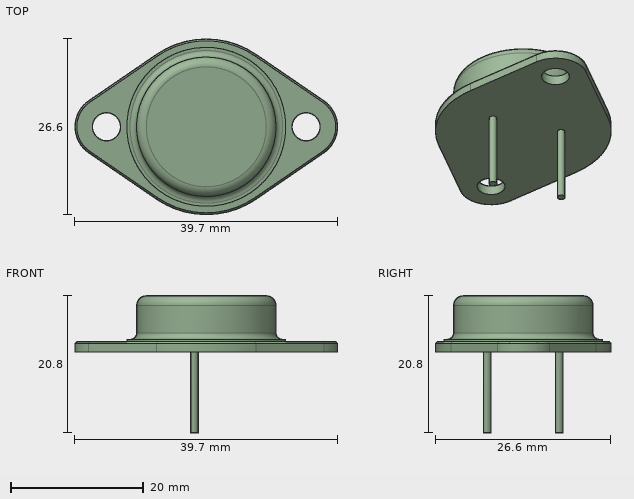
import cadquery as cq
import math

flange_length = 39.7
flange_width = 26.55
flange_thickness = 1.6
flange_chamfer = 0.28
mount_spacing = 30.15
mount_hole_diameter = 4.2

cap_height = 6.95
cap_diameter = 21.08
cap_top_radius = 1.45
brim_diameter = 24.0
brim_thickness = 0.35
brim_fillet = 1.0

pin_diameter = 1.15
pin_length = 12.2
pin_x = -1.8
pin_spacing = 10.88


def make_flange():
    """Diamond-shaped plate with a mounting hole concentric with each end."""
    end_x = mount_spacing / 2
    end_radius = flange_length / 2 - end_x
    middle_radius = flange_width / 2

    normal_x = (middle_radius - end_radius) / end_x
    normal_y = math.sqrt(1 - normal_x**2)
    middle_tangent_x = middle_radius * normal_x
    middle_tangent_y = middle_radius * normal_y
    end_tangent_x = end_x + end_radius * normal_x
    end_tangent_y = end_radius * normal_y

    plate = (
        cq.Workplane("XY")
        .moveTo(-middle_tangent_x, middle_tangent_y)
        .threePointArc((0, middle_radius), (middle_tangent_x, middle_tangent_y))
        .lineTo(end_tangent_x, end_tangent_y)
        .threePointArc((flange_length / 2, 0), (end_tangent_x, -end_tangent_y))
        .lineTo(middle_tangent_x, -middle_tangent_y)
        .threePointArc((0, -middle_radius), (-middle_tangent_x, -middle_tangent_y))
        .lineTo(-end_tangent_x, -end_tangent_y)
        .threePointArc((-flange_length / 2, 0), (-end_tangent_x, end_tangent_y))
        .close()
        .extrude(flange_thickness)
        .faces(">Z")
        .chamfer(flange_chamfer)
    )
    holes = (
        cq.Workplane("XY")
        .pushPoints([(-end_x, 0), (end_x, 0)])
        .circle(mount_hole_diameter / 2)
        .extrude(flange_thickness)
    )
    return plate.cut(holes).solids()


def make_cap():
    """Revolved cap with a rounded top and a thin brim resting on the flange."""
    cap_radius = cap_diameter / 2
    brim_radius = brim_diameter / 2
    brim_top_z = flange_thickness + brim_thickness
    cap_top_z = flange_thickness + cap_height
    return (
        cq.Workplane("XZ")
        .moveTo(0, flange_thickness)
        .lineTo(brim_radius, flange_thickness)
        .lineTo(brim_radius, brim_top_z)
        .lineTo(cap_radius + brim_fillet, brim_top_z)
        .radiusArc((cap_radius, brim_top_z + brim_fillet), brim_fillet)
        .lineTo(cap_radius, cap_top_z - cap_top_radius)
        .radiusArc((cap_radius - cap_top_radius, cap_top_z), -cap_top_radius)
        .lineTo(0, cap_top_z)
        .close()
        .revolve(360, (0, 0), (0, 1))
    )


def make_pin(y):
    """Straight round pin hanging from the underside of the flange."""
    return cq.Workplane("XY").center(pin_x, y).circle(pin_diameter / 2).extrude(-pin_length)


flange = make_flange()
cap = make_cap()
pins = [make_pin(side * pin_spacing / 2) for side in (-1, 1)]

result = cq.Compound.makeCompound([flange.val(), cap.val(), *[pin.val() for pin in pins]])